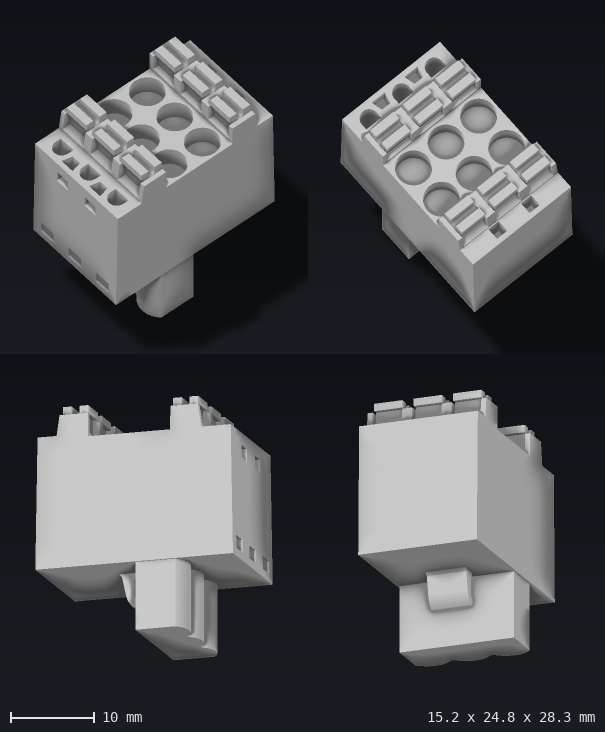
import cadquery as cq


POLE_COUNT = 3
PITCH = 5.07

HOUSING_WIDTH = 15.25
BASE_DEPTH = 24.75
WALL_LEAN = 0.28
BASE_Z = 8.35
DECK_Z = 24.28
BACK_SHELF_Z = 24.65

TOWER_TOP_Z = 27.17
BACK_TOWER_INNER_Y = 5.78
BACK_TOWER_TOP_Y = 9.35
BACK_TOWER_FOOT_Y = 9.72
FRONT_TOWER_INNER_TOP_Y = -4.55
FRONT_TOWER_INNER_FOOT_Y = -4.48
FRONT_TOWER_TOP_Y = -8.0
FRONT_TOWER_FOOT_Y = -8.4

SLOT_WIDTH = 3.8
FRONT_SLOT_FLOOR_Z = 24.68
BACK_SLOT_FLOOR_Z = 24.82
LEVER_WIDTH = 3.63
LEVER_TOP_Z = 28.33
LEVER_DEPTH = 3.17
LEVER_NECK_DEPTH = 1.93
LEVER_LIP_HEIGHT = 0.93
LEVER_GROOVE_WIDTH = 1.0
LEVER_GROOVE_DEPTH = 1.27
BACK_LEVER_Y = 7.55
FRONT_LEVER_Y = -6.2

WELL_DIAMETER = 4.42
WELL_DEPTH = 2.7
WELL_ROWS_Y = (3.25, -1.93)

ENTRY_WIDTH = 2.32
ENTRY_FLAT_Y = -9.25
ENTRY_LENGTH = 2.0
ENTRY_DEPTH = 8.5

POCKET_BACK_Y = -9.97
POCKET_FRONT_Y = -11.42
POCKET_BACK_WIDTH = 1.33
POCKET_FRONT_WIDTH = 2.05
POCKET_FLOOR_Z = 21.22
WINDOW_HEIGHT = 1.55

BACK_POCKET_WIDTH = 1.6
BACK_POCKET_Y = 10.65

RECESS_WIDTH = 2.32
RECESS_HEIGHT = 1.6
RECESS_BOTTOM_Z = 9.38
RECESS_DEPTH = 0.23

PLUG_BACK_Y = -0.05
PLUG_SHOULDER_Y = -5.07
PLUG_FRONT_Y = -6.12
LOBE_WIDTH = 4.55

HOOK_WIDTH = PITCH
HOOK_ROOT_BACK_Y = 3.55
HOOK_ROOT_FRONT_Y = 1.3
HOOK_STEM_FRONT_Y = 1.65
HOOK_ROOT_FLARE = 0.37
HOOK_ROOT_Z = 8.05
HOOK_STEM_TOP_Z = 7.37
HOOK_STEM_BOTTOM_Z = 5.38
HOOK_BEND = (2.65, 5.58)
HOOK_BEND_MIDDLE = (2.32, 4.82)
HOOK_NOSE_BACK = (1.78, 4.16)
HOOK_NOSE_BOTTOM = (1.45, 4.1)
HOOK_NOSE_FRONT = (1.25, 4.4)
HOOK_CATCH = (1.2, 5.07)

FRONT_Y = -BASE_DEPTH / 2
pole_xs = [(i - (POLE_COUNT - 1) / 2) * PITCH for i in range(POLE_COUNT)]
gap_xs = [(a + b) / 2 for a, b in zip(pole_xs, pole_xs[1:])]


def box(x_size, y_range, z_range, x_center=0.0):
    """Box centred on x_center that spans the given Y and Z ranges."""
    y_size = y_range[1] - y_range[0]
    z_size = z_range[1] - z_range[0]
    corner_at = (x_center, y_range[0], z_range[0])
    return cq.Workplane("XY").box(x_size, y_size, z_size, centered=(True, False, False)).translate(corner_at)


def make_block():
    """Housing block with both towers, as a side profile drawn out along X."""
    top_y = BASE_DEPTH / 2 - WALL_LEAN
    profile = [
        (FRONT_Y, BASE_Z),
        (-top_y, DECK_Z),
        (FRONT_TOWER_FOOT_Y, DECK_Z),
        (FRONT_TOWER_TOP_Y, TOWER_TOP_Z),
        (FRONT_TOWER_INNER_TOP_Y, TOWER_TOP_Z),
        (FRONT_TOWER_INNER_FOOT_Y, DECK_Z),
        (BACK_TOWER_INNER_Y, DECK_Z),
        (BACK_TOWER_INNER_Y, TOWER_TOP_Z),
        (BACK_TOWER_TOP_Y, TOWER_TOP_Z),
        (BACK_TOWER_FOOT_Y, BACK_SHELF_Z),
        (top_y, BACK_SHELF_Z),
        (BASE_DEPTH / 2, BASE_Z),
    ]
    return cq.Workplane("YZ").polyline(profile).close().extrude(HOUSING_WIDTH / 2, both=True)


def make_plug():
    """Plug body with one bowed lobe per pole on its front."""
    half_lobe = LOBE_WIDTH / 2
    left = pole_xs[0] - half_lobe
    right = pole_xs[-1] + half_lobe
    outline = cq.Workplane("XY").moveTo(right, PLUG_BACK_Y).lineTo(left, PLUG_BACK_Y)
    for x in pole_xs:
        outline = outline.lineTo(x - half_lobe, PLUG_SHOULDER_Y)
        outline = outline.threePointArc((x, PLUG_FRONT_Y), (x + half_lobe, PLUG_SHOULDER_Y))
    return outline.close().extrude(BASE_Z)


def make_hook():
    """Latch hook that hangs from the housing behind the plug."""
    return (
        cq.Workplane("YZ")
        .moveTo(HOOK_ROOT_BACK_Y, BASE_Z)
        .lineTo(HOOK_ROOT_BACK_Y - HOOK_ROOT_FLARE, BASE_Z - HOOK_ROOT_FLARE)
        .lineTo(*HOOK_BEND)
        .threePointArc(HOOK_BEND_MIDDLE, HOOK_NOSE_BACK)
        .threePointArc(HOOK_NOSE_BOTTOM, HOOK_NOSE_FRONT)
        .lineTo(*HOOK_CATCH)
        .lineTo(HOOK_STEM_FRONT_Y, HOOK_STEM_BOTTOM_Z)
        .lineTo(HOOK_STEM_FRONT_Y, HOOK_STEM_TOP_Z)
        .lineTo(HOOK_ROOT_FRONT_Y, HOOK_ROOT_Z)
        .lineTo(HOOK_ROOT_FRONT_Y, BASE_Z)
        .close()
        .extrude(HOOK_WIDTH / 2, both=True)
    )


def lever_slots(x):
    """Slots for the front and back lever of one pole, each open upwards and through its tower."""
    front_y = (FRONT_TOWER_FOOT_Y, FRONT_TOWER_INNER_FOOT_Y)
    back_y = (BACK_TOWER_INNER_Y, BACK_TOWER_FOOT_Y)
    front_slot = box(SLOT_WIDTH, front_y, (FRONT_SLOT_FLOOR_Z, TOWER_TOP_Z), x)
    back_slot = box(SLOT_WIDTH, back_y, (BACK_SLOT_FLOOR_Z, TOWER_TOP_Z), x)
    return front_slot.union(back_slot)


def well(x, y):
    """Round blind well in the deck."""
    return cq.Workplane("XY", origin=(x, y, DECK_Z - WELL_DEPTH)).circle(WELL_DIAMETER / 2).extrude(WELL_DEPTH)


def wire_entry(x):
    """D-shaped blind hole with its flat towards the tower."""
    radius = ENTRY_WIDTH / 2
    tip_y = ENTRY_FLAT_Y - ENTRY_LENGTH
    return (
        cq.Workplane("XY", origin=(x, 0, DECK_Z - ENTRY_DEPTH))
        .moveTo(-radius, ENTRY_FLAT_Y)
        .lineTo(-radius, tip_y + radius)
        .threePointArc((0, tip_y), (radius, tip_y + radius))
        .lineTo(radius, ENTRY_FLAT_Y)
        .close()
        .extrude(ENTRY_DEPTH)
    )


def test_pocket(x):
    """Tapered pocket in the front shelf together with its window through the front wall."""
    outline = [
        (-POCKET_BACK_WIDTH / 2, POCKET_BACK_Y),
        (-POCKET_FRONT_WIDTH / 2, POCKET_FRONT_Y),
        (POCKET_FRONT_WIDTH / 2, POCKET_FRONT_Y),
        (POCKET_BACK_WIDTH / 2, POCKET_BACK_Y),
    ]
    pocket = (
        cq.Workplane("XY", origin=(x, 0, POCKET_FLOOR_Z))
        .polyline(outline)
        .close()
        .extrude(DECK_Z - POCKET_FLOOR_Z)
    )
    window_z = (POCKET_FLOOR_Z, POCKET_FLOOR_Z + WINDOW_HEIGHT)
    return pocket.union(box(POCKET_FRONT_WIDTH, (FRONT_Y, POCKET_FRONT_Y), window_z, x))


def back_pocket(x):
    """Square pocket in the back shelf, as deep as the front test pockets."""
    y_range = (BACK_POCKET_Y - BACK_POCKET_WIDTH / 2, BACK_POCKET_Y + BACK_POCKET_WIDTH / 2)
    return box(BACK_POCKET_WIDTH, y_range, (POCKET_FLOOR_Z, BACK_SHELF_Z), x)


def front_recess(x):
    """Shallow rectangular recess low on the leaning front wall."""
    middle_z = RECESS_BOTTOM_Z + RECESS_HEIGHT / 2
    wall_y = FRONT_Y + WALL_LEAN * (middle_z - BASE_Z) / (DECK_Z - BASE_Z)
    z_range = (RECESS_BOTTOM_Z, RECESS_BOTTOM_Z + RECESS_HEIGHT)
    return box(RECESS_WIDTH, (FRONT_Y, wall_y + RECESS_DEPTH), z_range, x)


def make_housing():
    """Housing with plug, hook and all its openings, as one solid."""
    housing = make_block().union(make_plug()).union(make_hook())
    for x in pole_xs:
        housing = housing.cut(lever_slots(x)).cut(wire_entry(x)).cut(front_recess(x))
        for y in WELL_ROWS_Y:
            housing = housing.cut(well(x, y))
    for x in gap_xs:
        housing = housing.cut(test_pocket(x)).cut(back_pocket(x))
    return housing


def make_lever(x, y, foot_z):
    """Release lever: a neck that stands on the slot floor, two lips and a round-ended groove."""
    half_neck = LEVER_NECK_DEPTH / 2
    half_depth = LEVER_DEPTH / 2
    lip_z = LEVER_TOP_Z - LEVER_LIP_HEIGHT
    radius = LEVER_GROOVE_WIDTH / 2
    groove_bottom_z = LEVER_TOP_Z - LEVER_GROOVE_DEPTH
    profile = (
        cq.Workplane("YZ", origin=(x, y, 0))
        .moveTo(-half_neck, foot_z)
        .lineTo(-half_neck, lip_z)
        .lineTo(-half_depth, lip_z)
        .lineTo(-half_depth, LEVER_TOP_Z)
        .lineTo(-radius, LEVER_TOP_Z)
        .lineTo(-radius, groove_bottom_z + radius)
        .threePointArc((0, groove_bottom_z), (radius, groove_bottom_z + radius))
        .lineTo(radius, LEVER_TOP_Z)
        .lineTo(half_depth, LEVER_TOP_Z)
        .lineTo(half_depth, lip_z)
        .lineTo(half_neck, lip_z)
        .lineTo(half_neck, foot_z)
        .close()
    )
    return profile.extrude(LEVER_WIDTH / 2, both=True)


housing = make_housing()
lever_rows = ((FRONT_LEVER_Y, FRONT_SLOT_FLOOR_Z), (BACK_LEVER_Y, BACK_SLOT_FLOOR_Z))
levers = [make_lever(x, y, foot_z) for y, foot_z in lever_rows for x in pole_xs]

result = cq.Compound.makeCompound([housing.val(), *[lever.val() for lever in levers]])